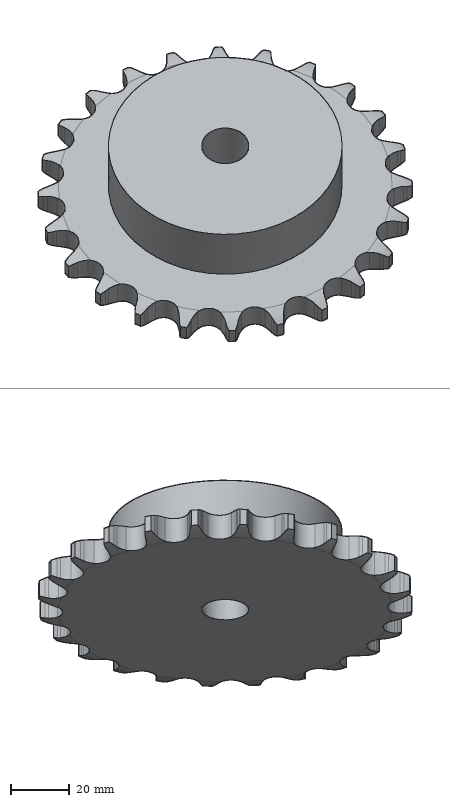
import cadquery as cq
import math

overall_size = 127.5
overall_height = 30.0
plate_thickness = 9.0
hub_diameter = 80.0
bore_diameter = 16.0

tooth_count = 24
pitch_diameter = 121.6
seat_radius = 5.1
working_radius = 13.3
straight_length = 1.3
topping_radius = 8.3

seat_half_angle = math.radians(55 - 60 / tooth_count)
working_angle = math.radians(18 - 56 / tooth_count)

side_radius = 15.9
side_start_radius = 57.1
rim_clearance = 0.6

tooth_angle = 2 * math.pi / tooth_count
flank_angle = seat_half_angle + working_angle


def arc_point(centre, radius, angle):
    """Point of an arc, with the angle measured from straight down towards +X.

    A negative radius gives the opposite point of the circle.
    """
    return centre[0] + radius * math.sin(angle), centre[1] - radius * math.cos(angle)


seat_centre = (0, pitch_diameter / 2)
seat_bottom = arc_point(seat_centre, seat_radius, 0)
seat_end = arc_point(seat_centre, seat_radius, seat_half_angle)

working_centre = arc_point(seat_end, -working_radius, seat_half_angle)
working_middle = arc_point(working_centre, working_radius, seat_half_angle + working_angle / 2)
working_end = arc_point(working_centre, working_radius, flank_angle)

straight_end = (
    working_end[0] + straight_length * math.cos(flank_angle),
    working_end[1] + straight_length * math.sin(flank_angle),
)

topping_centre = arc_point(straight_end, topping_radius, flank_angle)
corner_angle = math.acos((overall_size / 2 - topping_centre[1]) / topping_radius)
topping_middle = arc_point(topping_centre, -topping_radius, (flank_angle + corner_angle) / 2)
tip_corner = arc_point(topping_centre, -topping_radius, corner_angle)

tip_radius = math.hypot(*tip_corner)
tip_middle = (tip_radius * math.sin(tooth_angle / 2), tip_radius * math.cos(tooth_angle / 2))


def mirrored(point):
    """Mirror a point across the centre line of the gap."""
    return -point[0], point[1]


def turned(point, angle):
    """Turn a point clockwise about the sprocket axis."""
    x, y = point
    return x * math.cos(angle) + y * math.sin(angle), y * math.cos(angle) - x * math.sin(angle)


def toothed_blank():
    """Plate with the full tooth outline, gap by gap clockwise, and flat faces."""
    outline = cq.Workplane("XY").moveTo(*mirrored(tip_corner))
    for gap in range(tooth_count):

        def place(point):
            return turned(point, gap * tooth_angle)

        outline = (
            outline.threePointArc(place(mirrored(topping_middle)), place(mirrored(straight_end)))
            .lineTo(*place(mirrored(working_end)))
            .threePointArc(place(mirrored(working_middle)), place(mirrored(seat_end)))
            .threePointArc(place(seat_bottom), place(seat_end))
            .threePointArc(place(working_middle), place(working_end))
            .lineTo(*place(straight_end))
            .threePointArc(place(topping_middle), place(tip_corner))
            .threePointArc(place(tip_middle), turned(mirrored(tip_corner), (gap + 1) * tooth_angle))
        )
    return outline.close().extrude(plate_thickness)


def rounded_disc():
    """Disc whose two faces curve towards each other near the rim, tangent to the flat faces."""
    rim_radius = tip_radius + rim_clearance

    def side_drop(radius):
        """How far the rounded side lies below the flat face at this radius."""
        return side_radius - math.sqrt(side_radius**2 - (radius - side_start_radius) ** 2)

    middle_radius = (side_start_radius + rim_radius) / 2
    middle_drop = side_drop(middle_radius)
    rim_drop = side_drop(rim_radius)
    half_section = (
        cq.Workplane("XZ")
        .lineTo(side_start_radius, 0)
        .threePointArc((middle_radius, middle_drop), (rim_radius, rim_drop))
        .lineTo(rim_radius, plate_thickness - rim_drop)
        .threePointArc((middle_radius, plate_thickness - middle_drop), (side_start_radius, plate_thickness))
        .lineTo(0, plate_thickness)
        .close()
    )
    return half_section.revolve(360, (0, 0, 0), (0, 1, 0))


plate = toothed_blank().intersect(rounded_disc())
hub = cq.Workplane("XY").circle(hub_diameter / 2).extrude(overall_height)
bore = cq.Workplane("XY").circle(bore_diameter / 2).extrude(overall_height)

result = plate.union(hub).cut(bore)